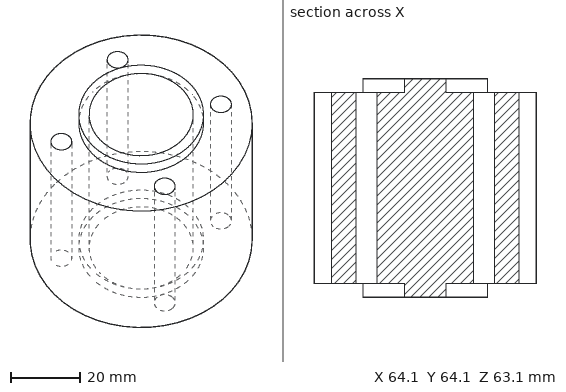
import cadquery as cq

body_diameter = 64.12
overall_height = 63.14
collar_diameter = 36.0
collar_height = 4.0
bore_diameter = 30.0
bolt_hole_diameter = 6.0
bolt_circle_diameter = 48.0
bolt_hole_count = 4
first_bolt_angle = 45.0

body_height = overall_height - 2 * collar_height


def centred_cylinder(diameter, height):
    """Cylinder on the Z axis, centred on the origin."""
    return cq.Workplane("XY").cylinder(height, diameter / 2)


def bolt_holes():
    """Through holes, evenly spaced on the bolt circle."""
    return (
        cq.Workplane("XY")
        .polarArray(bolt_circle_diameter / 2, first_bolt_angle, 360, bolt_hole_count)
        .cylinder(body_height, bolt_hole_diameter / 2)
    )


body = centred_cylinder(body_diameter, body_height)
collars = centred_cylinder(collar_diameter, overall_height)
bore = centred_cylinder(bore_diameter, overall_height)

result = body.union(collars).cut(bore).cut(bolt_holes())